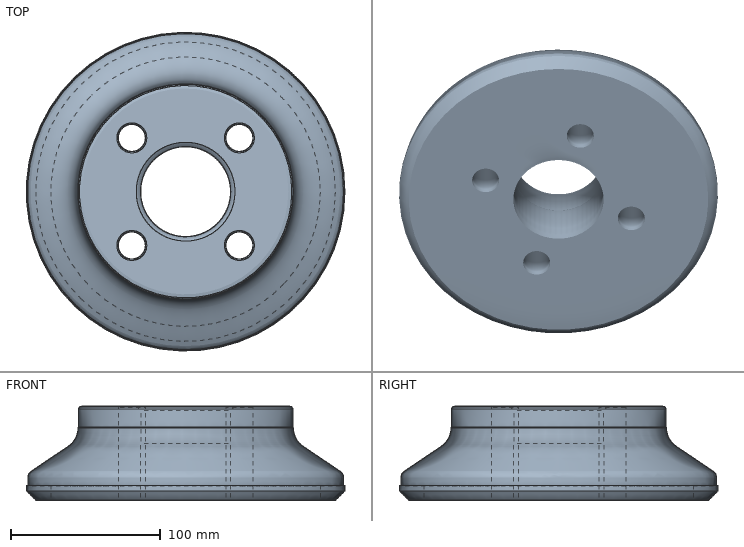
import cadquery as cq
import math

HUB_TOP = 63.01
FACE_RADIUS = 137.5 / 2
TOP_BREAK_RADIUS = 70.9
TOP_BREAK_DROP = 0.5
NECK_RADIUS = 143.5 / 2
NECK_TOP = HUB_TOP - 2.0
FLARE_TOP_RADIUS = 144.0 / 2
FLARE_TOP = 48.4
NECK_BOTTOM = FLARE_TOP + 0.5
FLARE_ARC_RADIUS = 15.0
CONE_ANGLE = math.radians(34.0)
RIM_RADIUS = 211.0 / 2
RIM_FILLET = 5.0

RING_TOP = 9.6
RING_RADIUS = 212.85 / 2
RING_CHAMFER = 6.4
RING_BOTTOM_RADIUS = RING_RADIUS - RING_CHAMFER
RING_FOOT_WIDTH = 10.0
RING_INNER_RADIUS = RING_BOTTOM_RADIUS - RING_FOOT_WIDTH
LIP_BEAD_RADIUS = (RING_RADIUS - RIM_RADIUS) / 2

BORE_RADIUS = 60.02 / 2
BORE_RELIEF_RADIUS = 60.3 / 2
BORE_RELIEF_TOP = 38.0
BORE_CHAMFER = 3.0

BOLT_COUNT = 4
BOLT_START_ANGLE = 45.0
BOLT_CIRCLE_RADIUS = 101.6 / 2
BOLT_RADIUS = 18.0 / 2
BOLT_CHAMFER = 1.0


def revolve_about_z(profile):
    """Turn a closed (radius, height) profile a full circle about the Z axis."""
    return profile.revolve(360, (0, 0, 0), (0, 1, 0))


def flare_point(angle):
    """Point on the concave flare arc, the angle measured from its upper end."""
    return (
        FLARE_TOP_RADIUS + FLARE_ARC_RADIUS * (1 - math.cos(angle)),
        FLARE_TOP - FLARE_ARC_RADIUS * math.sin(angle),
    )


def make_hub_blank():
    flare_sweep = math.pi / 2 - CONE_ANGLE
    cone_top_radius, cone_top = flare_point(flare_sweep)
    rim_top = cone_top - (RIM_RADIUS - cone_top_radius) * math.tan(CONE_ANGLE)
    profile = (
        cq.Workplane("XZ")
        .lineTo(RING_INNER_RADIUS, 0)
        .lineTo(RING_INNER_RADIUS, RING_TOP)
        .lineTo(RIM_RADIUS, RING_TOP)
        .lineTo(RIM_RADIUS, rim_top)
        .lineTo(cone_top_radius, cone_top)
        .threePointArc(flare_point(flare_sweep / 2), flare_point(0))
        .lineTo(NECK_RADIUS, NECK_BOTTOM)
        .lineTo(NECK_RADIUS, NECK_TOP)
        .lineTo(TOP_BREAK_RADIUS, HUB_TOP - TOP_BREAK_DROP)
        .lineTo(FACE_RADIUS, HUB_TOP)
        .lineTo(0, HUB_TOP)
        .close()
    )
    rim_edge = cq.selectors.NearestToPointSelector((0, 0, rim_top))
    return revolve_about_z(profile).edges("%CIRCLE").edges(rim_edge).fillet(RIM_FILLET)


def make_bore_cutter():
    profile = (
        cq.Workplane("XZ")
        .lineTo(BORE_RELIEF_RADIUS, 0)
        .lineTo(BORE_RELIEF_RADIUS, BORE_RELIEF_TOP)
        .lineTo(BORE_RADIUS, BORE_RELIEF_TOP)
        .lineTo(BORE_RADIUS, HUB_TOP - BORE_CHAMFER)
        .lineTo(BORE_RADIUS + BORE_CHAMFER, HUB_TOP)
        .lineTo(0, HUB_TOP)
        .close()
    )
    return revolve_about_z(profile)


def make_bolt_cutter():
    profile = (
        cq.Workplane("XZ")
        .lineTo(BOLT_RADIUS, 0)
        .lineTo(BOLT_RADIUS, HUB_TOP - BOLT_CHAMFER)
        .lineTo(BOLT_RADIUS + BOLT_CHAMFER, HUB_TOP)
        .lineTo(0, HUB_TOP)
        .close()
    )
    return revolve_about_z(profile).translate((BOLT_CIRCLE_RADIUS, 0, 0))


def make_hub():
    hub = make_hub_blank().cut(make_bore_cutter())
    bolt_cutter = make_bolt_cutter()
    for i in range(BOLT_COUNT):
        angle = BOLT_START_ANGLE + i * 360.0 / BOLT_COUNT
        hub = hub.cut(bolt_cutter.rotate((0, 0, 0), (0, 0, 1), angle))
    return hub


def make_ring():
    bead_crest = (RIM_RADIUS + LIP_BEAD_RADIUS, RING_TOP + LIP_BEAD_RADIUS)
    profile = (
        cq.Workplane("XZ")
        .moveTo(RING_INNER_RADIUS, 0)
        .lineTo(RING_BOTTOM_RADIUS, 0)
        .lineTo(RING_RADIUS, RING_CHAMFER)
        .lineTo(RING_RADIUS, RING_TOP)
        .threePointArc(bead_crest, (RIM_RADIUS, RING_TOP))
        .lineTo(RING_INNER_RADIUS, RING_TOP)
        .close()
    )
    return revolve_about_z(profile)


hub = make_hub()
ring = make_ring()
result = cq.Compound.makeCompound([hub.val(), ring.val()])